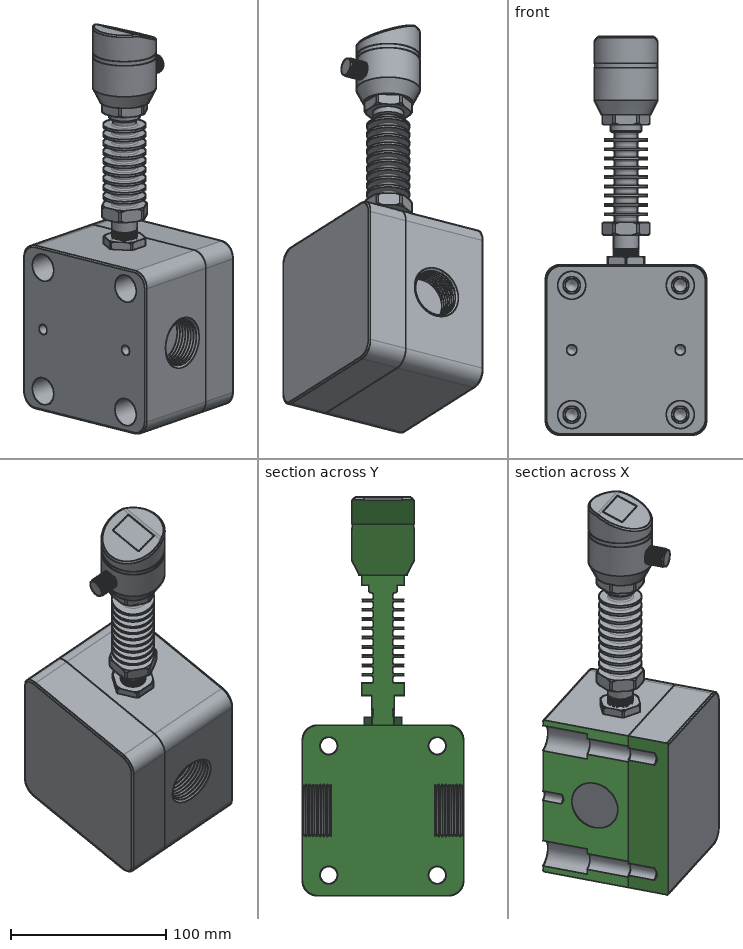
import cadquery as cq
import math


housing_width = 104.0
housing_height = 110.0
front_y = -39.8
split_y = 19.8
back_y = 47.8
corner_radius = 10.0
edge_chamfer = 1.0
mid_height = housing_height / 2

bolt_x = 35.0
bolt_half_height = 41.5
bolt_head_diameter = 18.0
bolt_head_depth = 30.8
bolt_clearance_diameter = 11.0
bolt_core_diameter = 8.5
bolt_core_depth = 18.0

small_hole_diameter = 6.7
small_hole_depth = 12.8
drill_point_angle = 118.0

port_y = -3.5
port_diameter = 33.5
port_core_diameter = 30.3
port_pitch = 2.3
port_turns = 8

nut_flats = 24.5
nut_corner_diameter = 27.5
nut_height = 5.1
nut_chamfer = 0.8

stem_diameter = 16.5
stem_core_diameter = 15.0
stem_pitch = 1.3
stem_thread_turns = 8
lower_hex_bottom = 129.0
lower_hex_top = 137.1
hex_flats = 27.5
hex_corner_diameter = 30.8
hex_chamfer = 1.0
tube_diameter = 15.0
fin_count = 9
fin_diameter = 27.5
fin_thickness = 1.5
fin_pitch = 5.98
root_fillet = 1.0
first_fin_z = 142.3
collar_diameter = 20.0
collar_bottom = 195.0
collar_bevel = 1.0
upper_hex_bottom = 199.8
upper_hex_top = 206.5

head_diameter = 41.0
head_foot_diameter = 31.8
cone_top = 215.7
band_bottom = 236.5
cap_bottom = 239.3
band_depth = 0.3
cap_top = 256.8
cap_slope_angle = 20.0
slope_top_y = -7.7
ridge_width = 1.5
ridge_drop = 0.3
cap_chamfer = 1.0
window_length = 24.7
window_width = 14.5
window_y = -0.3
window_depth = 0.3

connector_diameter = 12.0
connector_core_diameter = 11.0
connector_pitch = 1.0
connector_z = 224.5
connector_seat_y = 16.7
connector_end_y = 32.4
connector_tip = 1.3
connector_turns = 14


def thread_points(outer_radius, core_radius, start, pitch, turns):
    """Zigzag outline (radius, height) of ring-shaped thread teeth."""
    points = [(core_radius, start)]
    for turn in range(turns):
        points.append((outer_radius, start + (turn + 0.5) * pitch))
        points.append((core_radius, start + (turn + 1) * pitch))
    return points


def revolve_z(points):
    """Turn an outline of (radius, height) points about Z."""
    return cq.Workplane("XZ").polyline(points).close().revolve(360, (0, 0, 0), (0, 1, 0))


def cylinder(diameter, bottom, top):
    """Cylinder on the Z axis between two heights."""
    return cq.Workplane("XY").workplane(offset=bottom).circle(diameter / 2).extrude(top - bottom)


def hexagon(flats, bottom, top):
    """Hexagonal prism with two corners on the X axis."""
    corner_diameter = flats / math.cos(math.radians(30))
    return cq.Workplane("XY").workplane(offset=bottom).polygon(6, corner_diameter).extrude(top - bottom)


def front_block(near_y, far_y):
    """Block with rounded upright outline, seen along Y, between two Y positions."""
    block = cq.Workplane("XZ", origin=(0, near_y, mid_height))
    block = block.rect(housing_width, housing_height).extrude(near_y - far_y)
    return block.edges("|Y").fillet(corner_radius)


def blind_hole(x, z, start_y, diameter, depth):
    """Drilled hole running toward +Y, ending in a drill point."""
    radius = diameter / 2
    point_length = radius / math.tan(math.radians(drill_point_angle / 2))
    profile = [(0, 0), (radius, 0), (radius, depth), (0, depth + point_length)]
    return revolve_z(profile).rotate((0, 0, 0), (1, 0, 0), -90).translate((x, start_y, z))


def bolt_places():
    """X and Z of the four mounting bolts."""
    return [(x, mid_height + dz) for x in (-bolt_x, bolt_x) for dz in (-bolt_half_height, bolt_half_height)]


def port_thread():
    """Cutter for the threaded port entering the -X side."""
    depth = port_pitch * port_turns
    teeth = thread_points(port_core_diameter / 2, port_diameter / 2, 0, port_pitch, port_turns)
    cutter = revolve_z([(0, 0), *teeth, (0, depth)])
    return cutter.rotate((0, 0, 0), (0, 1, 0), 90).translate((-housing_width / 2, port_y, mid_height))


def make_housing():
    body = front_block(front_y, split_y).faces("<Y").chamfer(edge_chamfer)
    for x, z in bolt_places():
        bolt_face = cq.Workplane("XZ", origin=(x, front_y, z))
        body = body.cut(bolt_face.circle(bolt_head_diameter / 2).extrude(-bolt_head_depth))
        body = body.cut(bolt_face.circle(bolt_clearance_diameter / 2).extrude(front_y - split_y))
    for x in (-bolt_x, bolt_x):
        body = body.cut(blind_hole(x, mid_height, front_y, small_hole_diameter, small_hole_depth))
    port = port_thread()
    return body.cut(port).cut(port.mirror("YZ"))


def make_cover():
    body = front_block(split_y, back_y).faces(">Y").chamfer(edge_chamfer)
    for x, z in bolt_places():
        body = body.cut(blind_hole(x, z, split_y, bolt_core_diameter, bolt_core_depth))
    return body


def stem():
    """Threaded stem from the housing top up to the lower hexagon."""
    teeth = thread_points(
        stem_diameter / 2, stem_core_diameter / 2, housing_height, stem_pitch, stem_thread_turns
    )
    thread_top = teeth[-1][1]
    plain = [(stem_diameter / 2, thread_top), (stem_diameter / 2, lower_hex_bottom)]
    return revolve_z([(0, housing_height), *teeth, *plain, (0, lower_hex_bottom)])


def turned_hexagon(flats, corner_diameter, bottom, top, chamfered_faces, chamfer):
    """Hexagon with its corners turned down to a diameter and its ends bevelled."""
    envelope = cylinder(corner_diameter, bottom, top).faces(chamfered_faces).chamfer(chamfer)
    return hexagon(flats, bottom, top).intersect(envelope)


def make_nut():
    nut_top = housing_height + nut_height
    blank = turned_hexagon(nut_flats, nut_corner_diameter, housing_height, nut_top, ">Z", nut_chamfer)
    return blank.rotate((0, 0, 0), (0, 0, 1), 30).cut(stem())


def neck_hexagon(bottom, top, chamfered_faces):
    return turned_hexagon(hex_flats, hex_corner_diameter, bottom, top, chamfered_faces, hex_chamfer)


def finned_tube():
    """Cooling tube whose root is rounded at both ends and on both sides of every fin."""
    tube_radius = tube_diameter / 2
    fin_radius = fin_diameter / 2
    root_radius = tube_radius + root_fillet
    arc_inset = root_fillet * (1 - math.sqrt(0.5))

    def root_above(outline, z):
        """Fillet from a flat face at height z inward and up to the tube."""
        middle = (tube_radius + arc_inset, z + arc_inset)
        return outline.lineTo(root_radius, z).threePointArc(middle, (tube_radius, z + root_fillet))

    def root_below(outline, z):
        """Fillet from the tube outward and up to a flat face at height z."""
        middle = (tube_radius + arc_inset, z - arc_inset)
        return outline.lineTo(tube_radius, z - root_fillet).threePointArc(middle, (root_radius, z))

    outline = root_above(cq.Workplane("XZ").moveTo(0, lower_hex_top), lower_hex_top)
    for index in range(fin_count):
        bottom = first_fin_z + index * fin_pitch - fin_thickness / 2
        top = bottom + fin_thickness
        outline = root_below(outline, bottom).lineTo(fin_radius, bottom).lineTo(fin_radius, top)
        outline = root_above(outline, top)
    outline = root_below(outline, collar_bottom).lineTo(0, collar_bottom).close()
    return outline.revolve(360, (0, 0, 0), (0, 1, 0))


def make_neck():
    collar = cylinder(collar_diameter, collar_bottom, upper_hex_bottom).faces("<Z").chamfer(collar_bevel)
    lower_hex = neck_hexagon(lower_hex_bottom, lower_hex_top, "<Z or >Z")
    upper_hex = neck_hexagon(upper_hex_bottom, upper_hex_top, "<Z")
    return stem().union(lower_hex).union(finned_tube()).union(collar).union(upper_hex)


def make_connector():
    """Plug with a threaded shank and a plain tip, pointing along +Y."""
    length = connector_end_y - connector_seat_y
    core_radius = connector_core_diameter / 2
    thread_start = length - connector_tip - connector_pitch * connector_turns
    teeth = thread_points(connector_diameter / 2, core_radius, thread_start, connector_pitch, connector_turns)
    body = revolve_z([(0, 0), (core_radius, 0), *teeth, (core_radius, length), (0, length)])
    return body.rotate((0, 0, 0), (1, 0, 0), -90).translate((0, connector_seat_y, connector_z))


def make_head():
    radius = head_diameter / 2
    band_radius = radius - band_depth
    outline = [
        (0, upper_hex_top),
        (head_foot_diameter / 2, upper_hex_top),
        (radius, cone_top),
        (radius, band_bottom),
        (band_radius, band_bottom),
        (band_radius, cap_bottom),
        (0, cap_bottom),
    ]
    return revolve_z(outline).cut(make_connector())


def make_cap():
    radius = head_diameter / 2
    slope = math.tan(math.radians(cap_slope_angle))
    slope_top_z = cap_top - ridge_drop
    low_z = slope_top_z - (radius - slope_top_y) * slope
    side_outline = [
        (-radius, cap_bottom),
        (radius, cap_bottom),
        (radius, low_z),
        (slope_top_y, slope_top_z),
        (slope_top_y - ridge_width, cap_top),
        (-radius, cap_top),
    ]
    wedge = cq.Workplane("YZ").polyline(side_outline).close().extrude(radius, both=True)
    cap = cylinder(head_diameter, cap_bottom, cap_top).intersect(wedge)
    cap = cap.edges("not(|X or <Z or |Z)").chamfer(cap_chamfer)
    window_z = slope_top_z - (window_y - slope_top_y) * slope
    window = cq.Workplane("XY").box(window_length, window_width, 2 * window_depth)
    window = window.rotate((0, 0, 0), (1, 0, 0), -cap_slope_angle).translate((0, window_y, window_z))
    return cap.cut(window)


housing = make_housing()
cover = make_cover()
nut = make_nut()
neck = make_neck()
head = make_head()
cap = make_cap()
connector = make_connector()

result = cq.Compound.makeCompound(
    [housing.val(), cover.val(), nut.val(), neck.val(), head.val(), cap.val(), connector.val()]
)